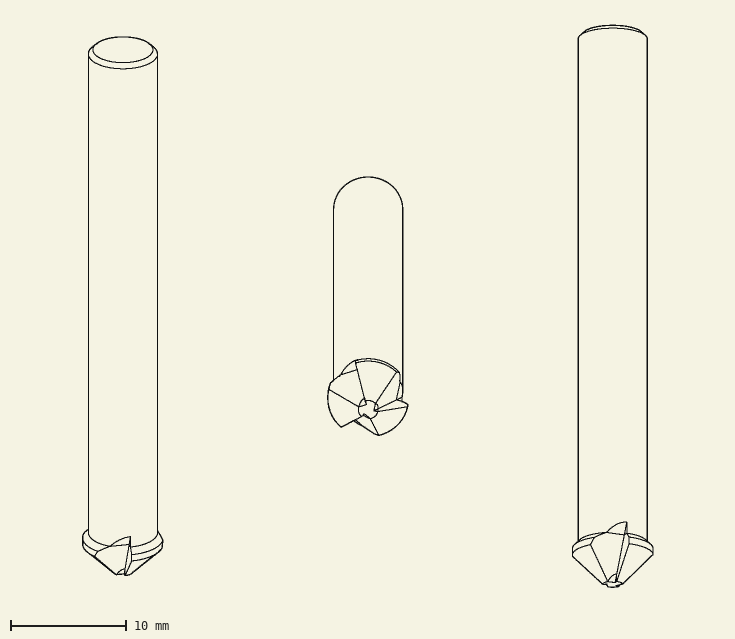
import cadquery as cq

LENGTH = 50.0
SHANK_RADIUS = 3.0
SHANK_CHAMFER = 0.4
HEAD_RADIUS = 3.5
HEAD_HEIGHT = 3.75
TIP_RADIUS = 0.85
HEAD_CHAMFER = HEAD_RADIUS - SHANK_RADIUS
CONE_HEIGHT = HEAD_RADIUS - TIP_RADIUS

FLUTE_COUNT = 3
FLUTE_FLOOR_OFFSET = 0.5
FLUTE_FLOOR_TILT = 27.8
FLUTE_ANGLE = 3.0
CUTTER_SIZE = 20.0


def make_flute_cutter():
    """Tilted block that cuts the flute nearest the -X side."""
    block = cq.Workplane("XY").box(
        CUTTER_SIZE, CUTTER_SIZE, CUTTER_SIZE, centered=(False, False, True)
    )
    return (
        block.translate((-CUTTER_SIZE, 0, 0))
        .rotate((0, 0, 0), (0, 1, 0), -FLUTE_FLOOR_TILT)
        .translate((-FLUTE_FLOOR_OFFSET, 0, 0))
        .rotate((0, 0, 0), (0, 0, 1), FLUTE_ANGLE)
    )


def cut_flutes(body):
    """Cut the evenly spaced flutes out of a body."""
    cutter = make_flute_cutter()
    for index in range(FLUTE_COUNT):
        angle = index * 360 / FLUTE_COUNT
        body = body.cut(cutter.rotate((0, 0, 0), (0, 0, 1), angle))
    return body


def make_shank():
    """Round shank with a spigot down through the head, cut by the flute run-outs."""
    blank = (
        cq.Workplane("XY", origin=(0, 0, HEAD_HEIGHT))
        .circle(SHANK_RADIUS)
        .extrude(LENGTH - HEAD_HEIGHT)
        .faces(">Z")
        .chamfer(SHANK_CHAMFER)
    )
    spigot = cq.Workplane("XY").circle(TIP_RADIUS).extrude(HEAD_HEIGHT)
    return cut_flutes(blank.union(spigot))


def make_head():
    """Conical ring around the spigot, with a short rim and a chamfer up to the shank."""
    blank = (
        cq.Workplane("XZ")
        .moveTo(TIP_RADIUS, 0)
        .lineTo(HEAD_RADIUS, CONE_HEIGHT)
        .lineTo(HEAD_RADIUS, HEAD_HEIGHT - HEAD_CHAMFER)
        .lineTo(SHANK_RADIUS, HEAD_HEIGHT)
        .lineTo(TIP_RADIUS, HEAD_HEIGHT)
        .close()
        .revolve(360, (0, 0, 0), (0, 1, 0))
    )
    return cut_flutes(blank)


shank = make_shank()
head = make_head()
result = cq.Compound.makeCompound([shank.val(), head.val()])